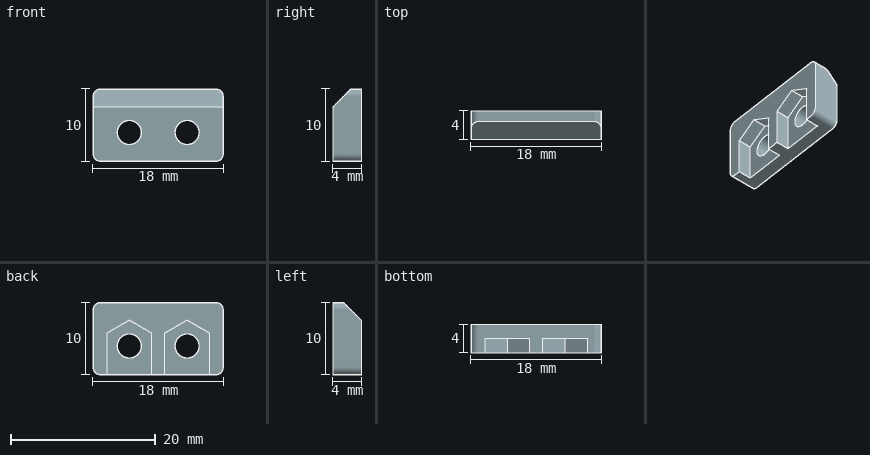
import cadquery as cq
import math

length = 18.0
thickness = 4.0
height = 10.0

corner_radius = 1.0
chamfer_size = 2.5

hole_diameter = 3.3
hole_spacing = 8.0
hole_height = 4.0
hole_positions = [-hole_spacing / 2, hole_spacing / 2]

slot_width = 6.2
slot_depth = 2.0


def rounded_block():
    """Upright plate centred on X and Y, with its four corners rounded."""
    block = cq.Workplane("XY").box(length, thickness, height, centered=(True, True, False))
    return block.edges("|Y").fillet(corner_radius)


def front_chamfer():
    """Triangular prism that bevels the upper front edge over the full length."""
    front = -thickness / 2
    return (
        cq.Workplane("YZ")
        .moveTo(front, height - chamfer_size)
        .lineTo(front + chamfer_size, height)
        .lineTo(front, height)
        .close()
        .extrude(length / 2, both=True)
    )


def through_hole(x):
    """Cylinder crossing the plate from front to back."""
    return (
        cq.Workplane("XZ", origin=(x, thickness / 2, hole_height))
        .circle(hole_diameter / 2)
        .extrude(thickness)
    )


def nut_slot(x):
    """Slot cut from the back: straight sides from the bottom, ending in the top half of a hexagon."""
    half_width = slot_width / 2
    hex_side = slot_width / math.sqrt(3)
    return (
        cq.Workplane("XZ", origin=(x, thickness / 2, hole_height))
        .moveTo(-half_width, -hole_height)
        .lineTo(-half_width, hex_side / 2)
        .lineTo(0, hex_side)
        .lineTo(half_width, hex_side / 2)
        .lineTo(half_width, -hole_height)
        .close()
        .extrude(slot_depth)
    )


result = rounded_block().cut(front_chamfer())
for hole_x in hole_positions:
    result = result.cut(through_hole(hole_x)).cut(nut_slot(hole_x))